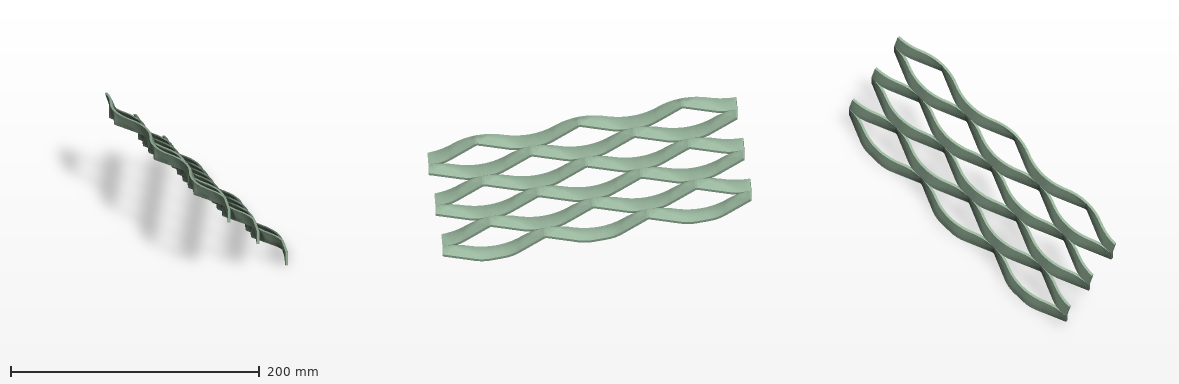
import cadquery as cq
import math


length = 255.0
height = 66.0
overall_depth = 77.0
thickness = 2.0
wave_count = 3
strand_count = 6

half_wave = length / wave_count / 2
strand_height = height / strand_count
lower_wave_depth = (overall_depth - thickness) / strand_count
upper_wave_depth = 8.7

crest_half_flat = 5.5
bend_run = 12.0
valley_half_flat = 1.0

upper_arc_run = half_wave / 2
upper_half_angle = math.atan(upper_wave_depth / half_wave)
upper_radius = upper_arc_run / math.sin(2 * upper_half_angle)

bend_end = crest_half_flat + bend_run
valley_start = half_wave - valley_half_flat
flank_run = valley_start - bend_end


def find_flank_angle():
    """Slope angle for which the bend and the flank together drop by the full wave depth."""
    low = 0.0
    high = math.pi / 4
    bisection_steps = 50
    for _ in range(bisection_steps):
        angle = (low + high) / 2
        drop = bend_run * math.tan(angle / 2) + flank_run * math.tan(angle)
        if drop < lower_wave_depth:
            low = angle
        else:
            high = angle
    return angle


flank_angle = find_flank_angle()
bend_radius = bend_run / math.sin(flank_angle)
bend_drop = bend_run * math.tan(flank_angle / 2)

stations = [0.0, crest_half_flat, bend_end, upper_arc_run, valley_start, half_wave]


def upper_edge(run):
    """Height above the valley and downward tilt of the upper edge, at a distance from the crest."""
    if run <= upper_arc_run:
        tilt = math.asin(run / upper_radius)
        return upper_wave_depth - upper_radius * (1 - math.cos(tilt)), tilt
    tilt = math.asin((half_wave - run) / upper_radius)
    return upper_radius * (1 - math.cos(tilt)), tilt


def lower_edge(run):
    """Height above the valley and downward tilt of the lower edge, at a distance from the crest."""
    if run <= crest_half_flat:
        return lower_wave_depth, 0.0
    if run <= bend_end:
        tilt = math.asin((run - crest_half_flat) / bend_radius)
        return lower_wave_depth - bend_radius * (1 - math.cos(tilt)), tilt
    if run < valley_start:
        drop = bend_drop + (run - bend_end) * math.tan(flank_angle)
        return lower_wave_depth - drop, flank_angle
    if run == valley_start:
        return 0.0, flank_angle / 2
    return 0.0, 0.0


def edge_point(edge, run, offset, crest_x, direction, z):
    """Point on one side of the sheet, offset square to the wave."""
    y, tilt = edge(run)
    reach = offset
    if edge is lower_edge and run == valley_start:
        reach = offset / math.cos(tilt)
    x = crest_x + direction * (run + reach * math.sin(tilt))
    return cq.Vector(x, y + reach * math.cos(tilt), z)


def wave_edges(edge, offset, crest_first, z):
    """Chain of lines and arcs along the full length of one side of a strand."""
    edges = []
    for index in range(2 * wave_count):
        descending = (index % 2 == 0) == crest_first
        crest_x = half_wave * (index if descending else index + 1)
        direction = 1 if descending else -1
        runs = stations if descending else stations[::-1]
        for first, last in zip(runs, runs[1:]):
            curved = edge is upper_edge or {first, last} == {crest_half_flat, bend_end}
            start = edge_point(edge, first, offset, crest_x, direction, z)
            end = edge_point(edge, last, offset, crest_x, direction, z)
            if curved:
                middle = edge_point(edge, (first + last) / 2, offset, crest_x, direction, z)
                edges.append(cq.Edge.makeThreePointArc(start, middle, end))
            else:
                edges.append(cq.Edge.makeLine(start, end))
    return edges


def wave_outline(edge, crest_first, z):
    """Closed outline of the sheet at one level."""
    front = wave_edges(edge, 0.0, crest_first, z)
    back = wave_edges(edge, thickness, crest_first, z)
    left_end = cq.Edge.makeLine(back[0].startPoint(), front[0].startPoint())
    right_end = cq.Edge.makeLine(front[-1].endPoint(), back[-1].endPoint())
    return cq.Wire.assembleEdges(front + [right_end] + back[::-1] + [left_end])


def strand(crest_first):
    """One strand, ruled from its lower outline to its upper outline."""
    outlines = [
        wave_outline(lower_edge, crest_first, 0.0),
        wave_outline(upper_edge, crest_first, strand_height),
    ]
    return cq.Solid.makeLoft(outlines, True)


strands = []
for row in range(strand_count):
    crest_first = row % 2 == 1
    y_step = (strand_count - 1 - row) * lower_wave_depth
    position = cq.Vector(0, y_step, row * strand_height)
    strands.append(strand(crest_first).translate(position))

result = cq.Workplane(strands[0].fuse(*strands[1:]))